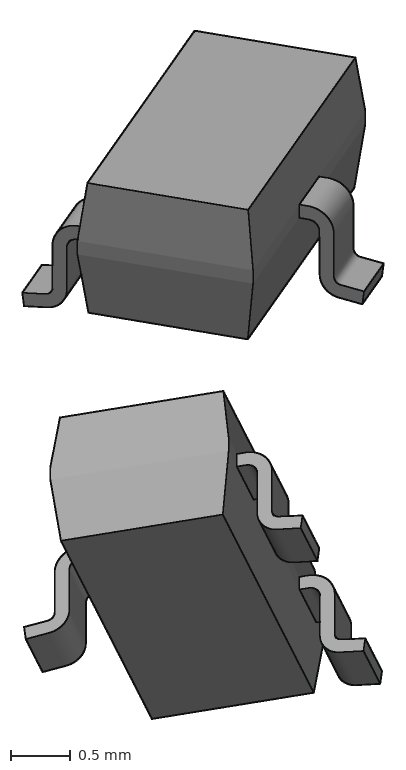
import cadquery as cq
import math

body_width = 1.555
body_length = 2.9
body_top = 1.39
body_bottom = 0.142
draft_angle = 7.0

lead_thickness = 0.128
lead_width = 0.51
lead_pitch = 1.9
lead_span = 2.7
leg_span = 2.165
shoulder_top = 0.855
shoulder_inner_radius = 0.1
foot_inner_radius = 0.07
foot_angle = math.radians(7.0)

belt_bottom = shoulder_top - lead_thickness


def make_body():
    belt = (
        cq.Workplane("XY", origin=(0, 0, belt_bottom))
        .rect(body_width, body_length)
        .extrude(lead_thickness)
    )
    upper = (
        cq.Workplane("XY", origin=(0, 0, shoulder_top))
        .rect(body_width, body_length)
        .extrude(body_top - shoulder_top, taper=draft_angle)
    )
    lower = (
        cq.Workplane("XY", origin=(0, 0, belt_bottom))
        .rect(body_width, body_length)
        .extrude(-(belt_bottom - body_bottom), taper=draft_angle)
    )
    return belt.union(upper).union(lower)


def arc_point(center, radius, angle):
    return (
        center[0] + radius * math.cos(angle),
        center[1] + radius * math.sin(angle),
    )


def make_lead(side, y_center):
    """Lead butting against the belt; side is +1 for the +X face, -1 for -X."""
    face_x = body_width / 2
    leg_outer = leg_span / 2
    leg_inner = leg_outer - lead_thickness
    sine = math.sin(foot_angle)
    cosine = math.cos(foot_angle)

    shoulder_outer_radius = shoulder_inner_radius + lead_thickness
    shoulder = (leg_inner - shoulder_inner_radius, shoulder_top - shoulder_outer_radius)
    shoulder_middle = math.radians(45)

    tip_upper = (lead_span / 2, lead_thickness * cosine)
    tip_lower = (tip_upper[0] - lead_thickness * sine, 0)

    foot_outer_radius = foot_inner_radius + lead_thickness
    foot_x = leg_outer + foot_inner_radius
    foot_z = (foot_outer_radius + (tip_lower[0] - foot_x) * sine) / cosine
    foot = (foot_x, foot_z)
    foot_start = math.pi
    foot_end = 1.5 * math.pi - foot_angle
    foot_middle = (foot_start + foot_end) / 2

    profile = (
        cq.Workplane("XZ", origin=(0, y_center + lead_width / 2, 0))
        .moveTo(face_x, shoulder_top)
        .lineTo(shoulder[0], shoulder_top)
        .threePointArc(
            arc_point(shoulder, shoulder_outer_radius, shoulder_middle),
            arc_point(shoulder, shoulder_outer_radius, 0),
        )
        .lineTo(*arc_point(foot, foot_inner_radius, foot_start))
        .threePointArc(
            arc_point(foot, foot_inner_radius, foot_middle),
            arc_point(foot, foot_inner_radius, foot_end),
        )
        .lineTo(*tip_upper)
        .lineTo(*tip_lower)
        .lineTo(*arc_point(foot, foot_outer_radius, foot_end))
        .threePointArc(
            arc_point(foot, foot_outer_radius, foot_middle),
            arc_point(foot, foot_outer_radius, foot_start),
        )
        .lineTo(*arc_point(shoulder, shoulder_inner_radius, 0))
        .threePointArc(
            arc_point(shoulder, shoulder_inner_radius, shoulder_middle),
            (shoulder[0], belt_bottom),
        )
        .lineTo(face_x, belt_bottom)
        .close()
    )
    lead = profile.extrude(lead_width)
    if side < 0:
        lead = lead.mirror("YZ")
    return lead


body = make_body()

lead_places = [
    (-1, -lead_pitch / 2),
    (-1, lead_pitch / 2),
    (1, 0),
]
leads = [make_lead(side, y_center) for side, y_center in lead_places]

result = cq.Compound.makeCompound([body.val(), *[lead.val() for lead in leads]])